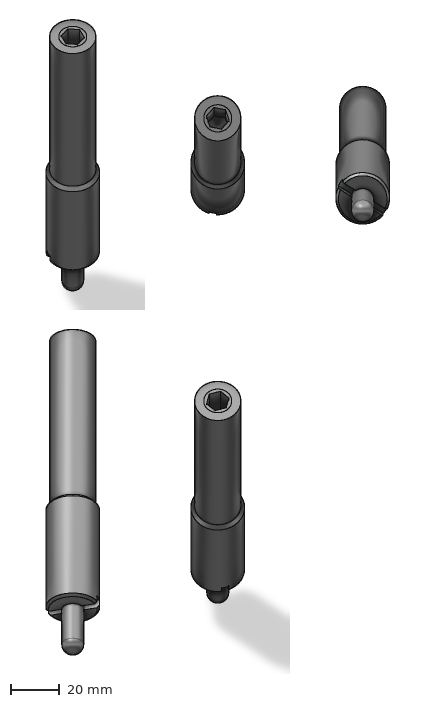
import cadquery as cq
import math

total_height = 151.0
housing_bottom = 21.3
shoulder_bottom = 69.5
shoulder_top = 71.1

barrel_radius = 11.0
stem_radius = 9.5
bottom_chamfer = 1.0
slot_width = 3.2
slot_depth = 3.6

tip_radius = 4.5
core_radius = 5.7
core_bottom = shoulder_bottom

socket_across_flats = 8.3
socket_corner_radius = socket_across_flats / math.sqrt(3)
socket_depth = 15.1
floor_cone_angle = 120.0
floor_cone_depth = socket_corner_radius / math.tan(math.radians(floor_cone_angle / 2))


def cylinder(radius, bottom, top):
    """Solid cylinder on the Z axis between two heights."""
    return cq.Workplane("XY").workplane(offset=bottom).circle(radius).extrude(top - bottom)


def make_housing():
    """Stepped sleeve with a stepped bore and a driver slot across its lower end."""
    barrel = cylinder(barrel_radius, housing_bottom, shoulder_bottom)
    barrel = barrel.faces("<Z").chamfer(bottom_chamfer)
    shoulder = (
        cq.Workplane("XY").workplane(offset=shoulder_bottom).circle(barrel_radius)
        .workplane(offset=shoulder_top - shoulder_bottom).circle(stem_radius).loft(ruled=True)
    )
    stem = cylinder(stem_radius, shoulder_top, total_height)
    lower_bore = cylinder(tip_radius, housing_bottom, core_bottom)
    upper_bore = cylinder(core_radius, core_bottom, total_height)
    slot = (
        cq.Workplane("XY").workplane(offset=housing_bottom)
        .rect(slot_width, 2 * barrel_radius).extrude(slot_depth)
    )
    body = barrel.union(shoulder).union(stem)
    return body.cut(lower_bore).cut(upper_bore).cut(slot)


def make_socket():
    """Hexagonal prism with corners on the X axis, and a cone pointing down below it."""
    floor_height = total_height - socket_depth
    hexagon = (
        cq.Workplane("XY").workplane(offset=floor_height)
        .polygon(6, 2 * socket_corner_radius).extrude(socket_depth)
    )
    cone = (
        cq.Workplane("XZ").moveTo(0, floor_height - floor_cone_depth)
        .lineTo(socket_corner_radius, floor_height).lineTo(0, floor_height).close()
        .revolve(360, (0, 0), (0, 1))
    )
    hexagon_cone = cone.intersect(hexagon.translate((0, 0, -socket_depth)))
    return hexagon.union(hexagon_cone)


def make_pin():
    """Round-nosed pin with a thicker upper core that fills the housing bore."""
    nose = cq.Workplane("XY").sphere(tip_radius).translate((0, 0, tip_radius))
    shank = cylinder(tip_radius, tip_radius, core_bottom)
    core = cylinder(core_radius, core_bottom, total_height)
    return nose.union(shank).union(core).cut(make_socket())


housing = make_housing()
pin = make_pin()
result = cq.Compound.makeCompound([housing.val(), pin.val()])